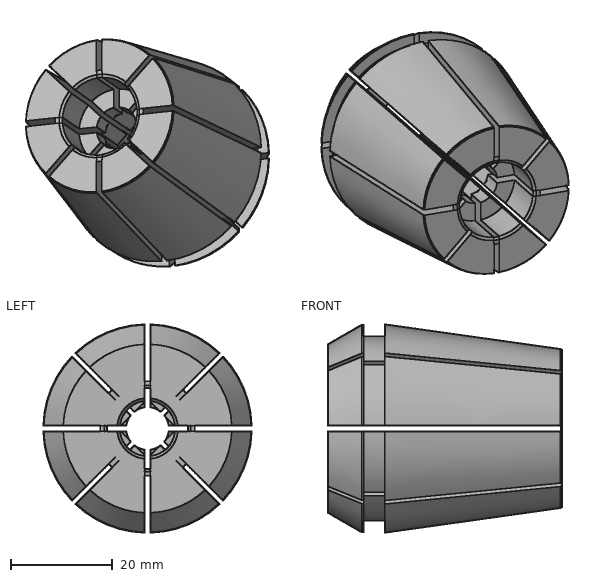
import cadquery as cq
import math

length = 46.0
body_radius = 20.495
taper_angle = 8.0
nose_face_radius = 16.55
nose_radius = 20.4
nose_cone_length = 6.62
nose_length = 7.0
neck_radius = 18.15
neck_end = 11.2
tail_chamfer_length = 0.3
tail_chamfer_drop = 0.2

entry_radius = 6.0
shank_radius = 5.45
entry_depth = 0.75
shank_depth = 23.0
square_across_flats = 8.2
square_end = 32.2
through_radius = 4.2
recess_start = 36.8
recess_radius = 7.85
recess_mouth_radius = 8.45
recess_chamfer_depth = 0.28

slot_count = 4
nose_slot_width = 1.15
tail_slot_width = 0.95
tail_web_radius = 9.3
nose_web_radius = 10.3
nose_floor_angle = 0.0
tail_floor_angle = 6.0
floor_end_angle = 45.0
cutter_radius = 9.2
overrun = 4.6


def tapered_radius(x):
    """Radius of the long clamping taper at distance x from the nose."""
    return body_radius - (x - neck_end) * math.tan(math.radians(taper_angle))


def make_body():
    chamfer_start = length - tail_chamfer_length
    tail_radius = tapered_radius(chamfer_start)
    return (
        cq.Workplane("XY")
        .moveTo(0, 0)
        .lineTo(0, nose_face_radius)
        .lineTo(nose_cone_length, nose_radius)
        .lineTo(nose_length, nose_radius)
        .lineTo(nose_length, neck_radius)
        .lineTo(neck_end, neck_radius)
        .lineTo(neck_end, body_radius)
        .lineTo(chamfer_start, tail_radius)
        .lineTo(length, tail_radius - tail_chamfer_drop)
        .lineTo(length, 0)
        .close()
        .revolve(360, (0, 0, 0), (1, 0, 0))
    )


def make_round_bore():
    """Shank bore with a flared mouth, narrow through hole and tail recess."""
    return (
        cq.Workplane("XY")
        .moveTo(0, 0)
        .lineTo(0, entry_radius)
        .lineTo(entry_depth, shank_radius)
        .lineTo(shank_depth, shank_radius)
        .lineTo(shank_depth, through_radius)
        .lineTo(recess_start, through_radius)
        .lineTo(recess_start, recess_radius)
        .lineTo(length - recess_chamfer_depth, recess_radius)
        .lineTo(length, recess_mouth_radius)
        .lineTo(length, 0)
        .close()
        .revolve(360, (0, 0, 0), (1, 0, 0))
    )


def make_square_socket():
    """Square drive socket with its flats facing the diagonals."""
    return (
        cq.Workplane("YZ")
        .workplane(offset=shank_depth)
        .rect(square_across_flats, square_across_flats)
        .extrude(square_end - shank_depth)
        .rotate((0, 0, 0), (1, 0, 0), 45)
    )


def make_slot(width, web_radius, start_angle):
    """Radial slot toward +Y that leaves a web at the tail end.

    The slot floor is the arc of a round cutter. It leaves the tail face at
    web_radius, tilted by start_angle, and thickens the web toward the axis.
    """
    outer = body_radius + overrun
    start = math.radians(start_angle)
    center_x = length - cutter_radius * math.cos(start)
    center_y = web_radius + cutter_radius * math.sin(start)

    def floor_point(angle):
        return (
            center_x + cutter_radius * math.cos(angle),
            center_y - cutter_radius * math.sin(angle),
        )

    end = math.radians(floor_end_angle)
    floor_end = floor_point(end)
    return (
        cq.Workplane("XY")
        .workplane(offset=-width / 2)
        .moveTo(-overrun, 0)
        .lineTo(floor_end[0], 0)
        .lineTo(*floor_end)
        .threePointArc(floor_point((start + end) / 2), floor_point(start))
        .lineTo(length + overrun, web_radius)
        .lineTo(length + overrun, outer)
        .lineTo(-overrun, outer)
        .close()
        .extrude(width)
    )


result = make_body().cut(make_round_bore()).cut(make_square_socket())

nose_slot = make_slot(nose_slot_width, tail_web_radius, tail_floor_angle)
tail_slot = make_slot(tail_slot_width, nose_web_radius, nose_floor_angle)
tail_slot = tail_slot.mirror("YZ").translate((length, 0, 0))
slot_pitch = 360 / slot_count
for index in range(slot_count):
    angle = index * slot_pitch
    result = result.cut(nose_slot.rotate((0, 0, 0), (1, 0, 0), angle))
    result = result.cut(tail_slot.rotate((0, 0, 0), (1, 0, 0), angle + slot_pitch / 2))